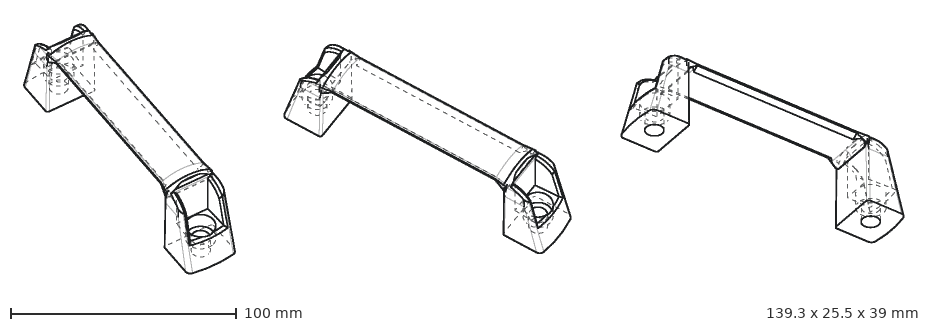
import cadquery as cq
import math

length = 139.3
width = 25.5
height = 39.0
half_length = length / 2

foot_half_width = width / 2
leg_inner_x = 48.0
foot_bow = 1.4
top_half_width = 12.1
leg_top_outer_x = 60.7
top_bow = 2.8
leg_corner_radius = 2.5
inner_corner_radius = 1.1

grip_half_width = 11.1
grip_half_length = 43.2
crown_edge_z = 36.8
grip_side_bottom_z = 35.5
grip_bottom_z = 33.7
grip_bottom_half_width = 8.4
edge_bevel_width = 0.8
edge_bevel_drop = 0.4
crown_half_width = grip_half_width - edge_bevel_width
crown_rise = height - crown_edge_z
crown_radius = (crown_half_width**2 + crown_rise**2) / (2 * crown_rise)

neck_bottom_z = 29.7
neck_bevel_z = 31.0
neck_root_half_width = 12.0
neck_overlap = 1.4
underside_fillet_end_x = 44.5
shoulder_radius = 1.4
shoulder_half_width = 11.7
shoulder_taper = 0.5
shoulder_start_z = 28.8

pocket_floor_z = 15.6
pocket_back_x = 51.5
pocket_back_half_width = 8.2
pocket_flare = 0.8
rim_chamfer = 1.3
rim_half_width = pocket_back_half_width + pocket_flare
screw_x = 58.5
screw_diameter = 8.5
counterbore_diameter = 13.5
counterbore_depth = 7.7

cheek_front = (60.9, 31.0)
cheek_knee = (57.8, 34.1)
cheek_back = (51.5, 36.4)
hood_lip = (51.3, 37.5)
hood_edge = (49.9, 38.6)

clearance = 7.0
select_margin = 0.7


def crown_z(y):
    """Height of the crowned top surface at a distance y from the centre."""
    return height - crown_radius + math.sqrt(crown_radius**2 - y**2)


def leg_outline(workplane, outer_x, half_width, bow):
    """Leg in plan: straight inner side and sides, bowed outer side."""
    corner_x = outer_x - bow
    return (
        workplane.moveTo(leg_inner_x, -half_width)
        .lineTo(corner_x, -half_width)
        .threePointArc((outer_x, 0), (corner_x, half_width))
        .lineTo(leg_inner_x, half_width)
        .close()
    )


def bar_outline(workplane, half_width, side_bottom_z, bottom_half_width, bottom_z):
    """Bar cross-section: bevelled crown, short sides and sloping lower edges."""
    crown_side = half_width - edge_bevel_width
    edge_z = crown_z(crown_side)
    side_top_z = edge_z - edge_bevel_drop
    return (
        workplane.moveTo(-crown_side, edge_z)
        .threePointArc((0, height), (crown_side, edge_z))
        .lineTo(half_width, side_top_z)
        .lineTo(half_width, side_bottom_z)
        .lineTo(bottom_half_width, bottom_z)
        .lineTo(-bottom_half_width, bottom_z)
        .lineTo(-half_width, side_bottom_z)
        .lineTo(-half_width, side_top_z)
        .close()
    )


def make_leg():
    """Tapered leg with rounded outer corners, trimmed to the crown."""
    foot = leg_outline(cq.Workplane("XY"), half_length, foot_half_width, foot_bow)
    leg = leg_outline(
        foot.workplane(offset=height), leg_top_outer_x, top_half_width, top_bow
    ).loft(ruled=True)
    outer_corners = cq.selectors.BoxSelector(
        (leg_inner_x + clearance, -half_length, height / 3),
        (half_length, half_length, height * 2 / 3),
    )
    leg = leg.edges(outer_corners).fillet(leg_corner_radius)
    inner_corners = cq.selectors.BoxSelector(
        (leg_inner_x - select_margin, -half_length, height / 3),
        (leg_inner_x + select_margin, half_length, height * 2 / 3),
    )
    leg = leg.edges(inner_corners).fillet(inner_corner_radius)
    edge_z = crown_z(shoulder_half_width)
    under_crown = (
        cq.Workplane("YZ", origin=(leg_inner_x, 0, 0))
        .moveTo(-foot_half_width, 0)
        .lineTo(-shoulder_half_width - shoulder_taper, shoulder_start_z)
        .lineTo(-shoulder_half_width, edge_z)
        .threePointArc((0, height), (shoulder_half_width, edge_z))
        .lineTo(shoulder_half_width + shoulder_taper, shoulder_start_z)
        .lineTo(foot_half_width, 0)
        .close()
        .extrude(half_length - leg_inner_x)
    )
    shoulder_edges = cq.selectors.BoxSelector(
        (0, -half_length, edge_z - select_margin), (half_length, half_length, edge_z + select_margin)
    )
    under_crown = under_crown.edges("|X").edges(shoulder_edges).fillet(shoulder_radius)
    return leg.intersect(under_crown)


def make_neck():
    """Transition from the leg to the grip with a rounded inside corner."""
    root = bar_outline(
        cq.Workplane("YZ", origin=(leg_inner_x + neck_overlap, 0, 0)),
        neck_root_half_width, neck_bevel_z, neck_root_half_width - shoulder_radius, neck_bottom_z,
    )
    neck = bar_outline(
        root.workplane(offset=grip_half_length - leg_inner_x - neck_overlap),
        grip_half_width, grip_side_bottom_z, grip_bottom_half_width, grip_bottom_z,
    ).loft(ruled=True)
    inside_corner = (
        cq.Workplane("XZ")
        .moveTo(leg_inner_x, neck_bottom_z - clearance)
        .lineTo(leg_inner_x, neck_bottom_z)
        .ellipseArc(
            leg_inner_x - underside_fillet_end_x, grip_bottom_z - neck_bottom_z, 0, 90,
            startAtCurrent=True,
        )
        .lineTo(0, grip_bottom_z)
        .lineTo(0, neck_bottom_z - clearance)
        .close()
        .extrude(half_length, both=True)
    )
    return neck.cut(inside_corner)


def make_cheek_cut():
    """Space above the cheeks, outside the edge of the hood."""
    return (
        cq.Workplane("XZ")
        .moveTo(half_length, cheek_front[1])
        .lineTo(*cheek_front)
        .threePointArc(cheek_knee, cheek_back)
        .lineTo(*hood_lip)
        .lineTo(*hood_edge)
        .lineTo(hood_edge[0], height + clearance)
        .lineTo(half_length, height + clearance)
        .close()
        .extrude(half_length, both=True)
    )


def make_pocket(floor_z):
    """Pocket space above a floor, widening toward the outer end."""
    back = pocket_back_half_width
    front = back + pocket_flare
    return (
        cq.Workplane("XY", origin=(0, 0, floor_z))
        .moveTo(pocket_back_x, -back)
        .lineTo(half_length, -front)
        .lineTo(half_length, front)
        .lineTo(pocket_back_x, back)
        .close()
        .extrude(height)
    )


def make_grip():
    """Straight bar between the two necks."""
    return bar_outline(
        cq.Workplane("YZ", origin=(-grip_half_length, 0, 0)),
        grip_half_width, grip_side_bottom_z, grip_bottom_half_width, grip_bottom_z,
    ).extrude(2 * grip_half_length)


def make_end():
    """One complete leg with its neck, pocket and screw hole."""
    end = make_leg().union(make_neck()).cut(make_cheek_cut())
    end = end.cut(make_pocket(pocket_floor_z))
    side_rim = cq.selectors.BoxSelector(
        (screw_x + select_margin, -rim_half_width, pocket_floor_z - select_margin),
        (half_length, rim_half_width, height),
    )
    top_rim = cq.selectors.BoxSelector(
        (pocket_back_x + select_margin, -rim_half_width, cheek_front[1]),
        (half_length, rim_half_width, cheek_back[1] - select_margin),
    )
    end = end.edges(side_rim + top_rim).chamfer(rim_chamfer)
    screw_hole = (
        cq.Workplane("XY").center(screw_x, 0).circle(screw_diameter / 2).extrude(pocket_floor_z)
    )
    counterbore = (
        cq.Workplane("XY", origin=(screw_x, 0, pocket_floor_z - counterbore_depth))
        .circle(counterbore_diameter / 2)
        .extrude(height)
    )
    inside_pocket = make_pocket(pocket_floor_z - counterbore_depth)
    return end.cut(screw_hole).cut(counterbore.intersect(inside_pocket))


end = make_end()
result = make_grip().union(end).union(end.mirror("YZ"))